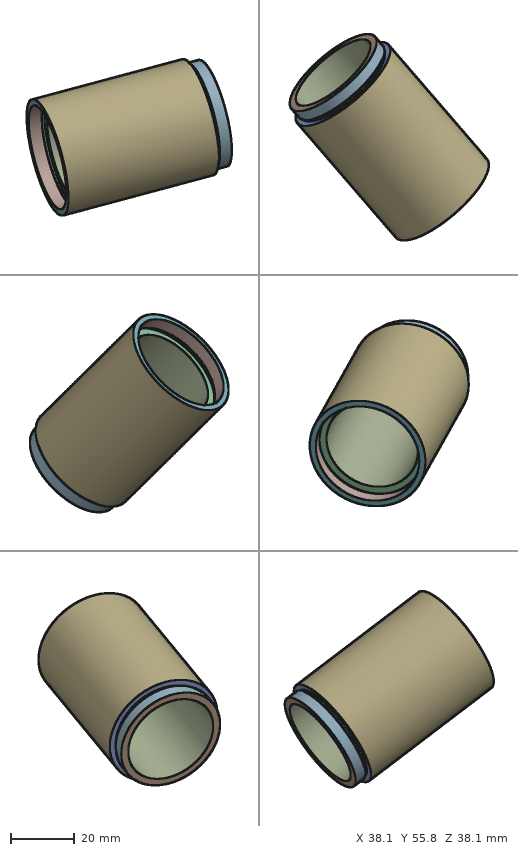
import cadquery as cq

length = 55.8
body_diameter = 38.1
bore_diameter = 30.0

spigot_diameter = 35.0
spigot_length = 4.0
neck_diameter = 34.05
neck_length = 1.0

socket_diameter = 34.05
socket_depth = 5.45

undercut_diameter = spigot_diameter
undercut_width = 1.0

front_y = -length / 2
body_length = length - spigot_length - neck_length


def cylinder(diameter, start_y, height):
    """Solid cylinder running from start_y toward +Y."""
    plane = cq.Workplane("XZ", origin=(0, start_y, 0))
    return plane.circle(diameter / 2).extrude(-height)


neck_y = front_y + body_length
body = cylinder(body_diameter, front_y, body_length)
neck = cylinder(neck_diameter, neck_y, neck_length)
spigot = cylinder(spigot_diameter, neck_y + neck_length, spigot_length)

bore = cylinder(bore_diameter, front_y, length)
socket = cylinder(socket_diameter, front_y, socket_depth)
undercut = cylinder(undercut_diameter, front_y + socket_depth - undercut_width, undercut_width)

result = body.union(neck).union(spigot).cut(bore).cut(socket).cut(undercut)